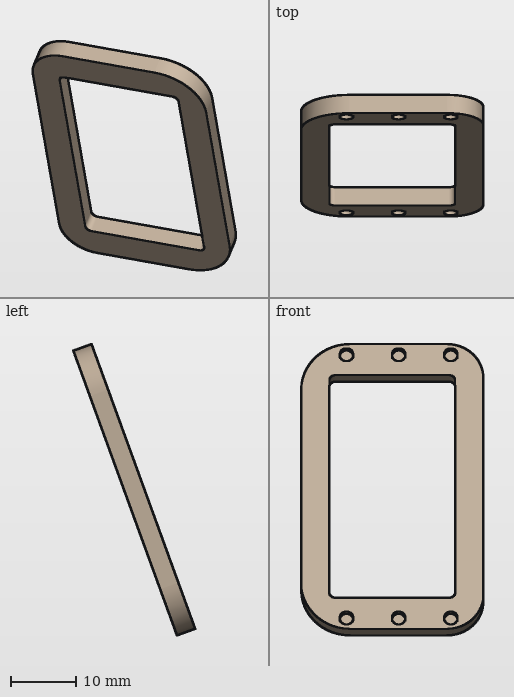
import cadquery as cq

frame_width = 28.0
frame_length = 46.5
thickness = 3.0
left_corner_radius = 7.5
right_corner_radius = 5.6
tilt_from_vertical = 20.0

side_rim = 4.35
end_rim = 5.1
window_corner_radius = 0.9

hole_diameter = 2.1
hole_depth = 1.0
hole_pitch = 8.0
hole_row_spacing = 42.98
hole_row_offset = 1.0


def make_plate():
    plate = cq.Workplane("XY").box(frame_width, frame_length, thickness)
    plate = plate.edges("|Z and <X").fillet(left_corner_radius)
    return plate.edges("|Z and >X").fillet(right_corner_radius)


def make_window():
    window_width = frame_width - 2 * side_rim
    window_length = frame_length - 2 * end_rim
    window = cq.Workplane("XY").box(window_width, window_length, 2 * thickness)
    return window.edges("|Z").fillet(window_corner_radius)


def drill_holes(frame):
    return (
        frame.faces(">Z")
        .workplane(origin=(hole_row_offset, 0, 0))
        .rarray(hole_pitch, hole_row_spacing, 3, 2)
        .hole(hole_diameter, hole_depth)
    )


frame = drill_holes(make_plate().cut(make_window()))

result = frame.rotate((0, 0, 0), (1, 0, 0), 90 - tilt_from_vertical)